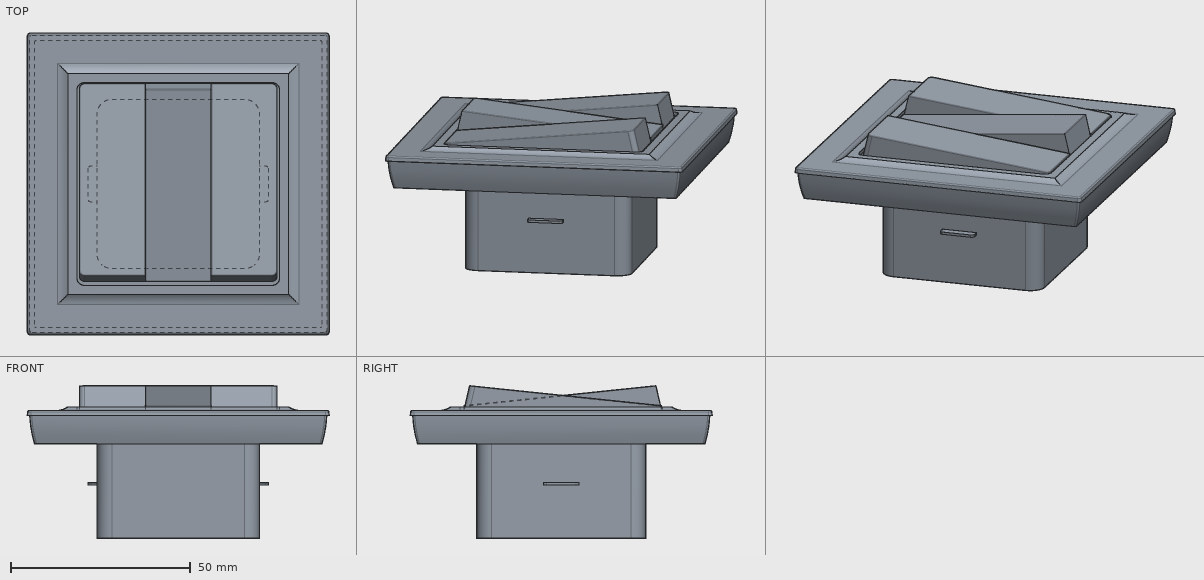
import cadquery as cq

BOX_X = 45.3
BOX_Y = 47.1
BOX_CORNER_RADIUS = 4.2

TAB_SPAN_X = 50.3
TAB_WIDTH_Y = 9.9
TAB_THICKNESS = 0.7
TAB_MID_Z = 15.1
TAB_CORNER_RADIUS = 0.8

SKIRT_BOTTOM_Z = 26.2
SKIRT_TOP_WIDTH = 82.75
SKIRT_BOTTOM_WIDTH = 80.0
SKIRT_BULGE = 0.25
SKIRT_CORNER_RADIUS = 0.6

LIP_BOTTOM_Z = 34.15
LIP_TOP_Z = 35.6
LIP_WIDTH = 84.1
LIP_DRAFT_ANGLE = 7.0
LIP_CORNER_RADIUS = 1.0
LIP_EDGE_RADIUS = 0.4

RIM_TOP_Z = 36.6
RIM_OUTER_WIDTH = 67.2
RIM_INNER_WIDTH = 61.4
RIM_HOLLOW = 0.21
OPENING_WIDTH = 56.4
OPENING_CORNER_RADIUS = 2.1

ROCKER_HIGH_END_Z = 42.5
ROCKER_COUNT = 3
BANK_WIDTH = 55.1
BANK_SHIFT_Y = 0.4
BANK_CORNER_RADIUS = 1.5
ROCKER_LOW_END_Z = 36.9
ROCKER_HIGH_END_INSET = 1.6
ROCKER_EDGE_RADIUS = 0.2


def rounded_block(size_x, size_y, bottom_z, top_z, corner_radius):
    """Upright block centred on the Z axis, with rounded vertical corners."""
    block = cq.Workplane("XY", origin=(0, 0, bottom_z)).rect(size_x, size_y).extrude(top_z - bottom_z)
    return block.edges("|Z").fillet(corner_radius)


def mitred_body(side_profile):
    """Square body with the same side profile on all four sides, mitred at the corners."""
    along_y = side_profile(cq.Workplane("XZ")).close().extrude(LIP_WIDTH / 2, both=True)
    along_x = along_y.rotate((0, 0, 0), (0, 0, 1), 90)
    return along_y.intersect(along_x)


def skirt_profile(plane):
    """Bowed sides, running up to the underside of the lip."""
    top = SKIRT_TOP_WIDTH / 2
    bottom = SKIRT_BOTTOM_WIDTH / 2
    return (
        plane.moveTo(-bottom, SKIRT_BOTTOM_Z)
        .lineTo(bottom, SKIRT_BOTTOM_Z)
        .sagittaArc((top, LIP_BOTTOM_Z), -SKIRT_BULGE)
        .lineTo(-top, LIP_BOTTOM_Z)
        .sagittaArc((-bottom, SKIRT_BOTTOM_Z), -SKIRT_BULGE)
    )


def rim_profile(plane):
    """The hollow sides run out flush with the top of the lip."""
    outer = RIM_OUTER_WIDTH / 2
    inner = RIM_INNER_WIDTH / 2
    return (
        plane.moveTo(-outer, LIP_TOP_Z)
        .lineTo(outer, LIP_TOP_Z)
        .sagittaArc((inner, RIM_TOP_Z), RIM_HOLLOW)
        .lineTo(-inner, RIM_TOP_Z)
        .sagittaArc((-outer, LIP_TOP_Z), RIM_HOLLOW)
    )


def make_lip():
    height = LIP_TOP_Z - LIP_BOTTOM_Z
    outline = cq.Sketch().rect(LIP_WIDTH, LIP_WIDTH).vertices().fillet(LIP_CORNER_RADIUS)
    base = cq.Workplane("XY", origin=(0, 0, LIP_BOTTOM_Z)).placeSketch(outline)
    lip = base.extrude(height, taper=LIP_DRAFT_ANGLE)
    return lip.faces(">Z").edges().fillet(LIP_EDGE_RADIUS)


def make_frame():
    skirt = mitred_body(skirt_profile)
    skirt = skirt.edges("not(#Z or |X or |Y)").fillet(SKIRT_CORNER_RADIUS)
    opening = rounded_block(OPENING_WIDTH, OPENING_WIDTH, LIP_TOP_Z, RIM_TOP_Z, OPENING_CORNER_RADIUS)
    rim = mitred_body(rim_profile).cut(opening)
    return skirt.union(make_lip()).union(rim)


def round_end_corners(rocker, side):
    """Round the two edges that run up the ends of one side face."""
    edges = rocker.faces(side).edges("<Y or >Y")
    return edges.fillet(BANK_CORNER_RADIUS)


def make_rocker(index):
    """Wedge standing on the floor of the opening, high at -Y or, for odd ones, at +Y."""
    pitch = BANK_WIDTH / ROCKER_COUNT
    center_x = (index - (ROCKER_COUNT - 1) / 2) * pitch
    half_length = BANK_WIDTH / 2
    wedge_outline = [
        (-half_length, LIP_TOP_Z),
        (ROCKER_HIGH_END_INSET - half_length, ROCKER_HIGH_END_Z),
        (half_length, ROCKER_LOW_END_Z),
        (half_length, LIP_TOP_Z),
    ]
    rocker = cq.Workplane("YZ").polyline(wedge_outline).close().extrude(pitch / 2, both=True)
    if index == 0:
        rocker = round_end_corners(rocker, "<X")
    if index == ROCKER_COUNT - 1:
        rocker = round_end_corners(rocker, ">X")
    upwards = cq.Vector(0, ROCKER_HIGH_END_Z - ROCKER_LOW_END_Z, BANK_WIDTH)
    top_face = rocker.faces(cq.selectors.DirectionMinMaxSelector(upwards))
    rocker = top_face.edges().fillet(ROCKER_EDGE_RADIUS)
    if index % 2 == 1:
        rocker = rocker.mirror("XZ")
    return rocker.translate((center_x, BANK_SHIFT_Y, 0))


def make_tab():
    half = TAB_THICKNESS / 2
    return rounded_block(TAB_SPAN_X, TAB_WIDTH_Y, TAB_MID_Z - half, TAB_MID_Z + half, TAB_CORNER_RADIUS)


result = rounded_block(BOX_X, BOX_Y, 0, SKIRT_BOTTOM_Z, BOX_CORNER_RADIUS)
result = result.union(make_tab()).union(make_frame())
for rocker_index in range(ROCKER_COUNT):
    result = result.union(make_rocker(rocker_index))